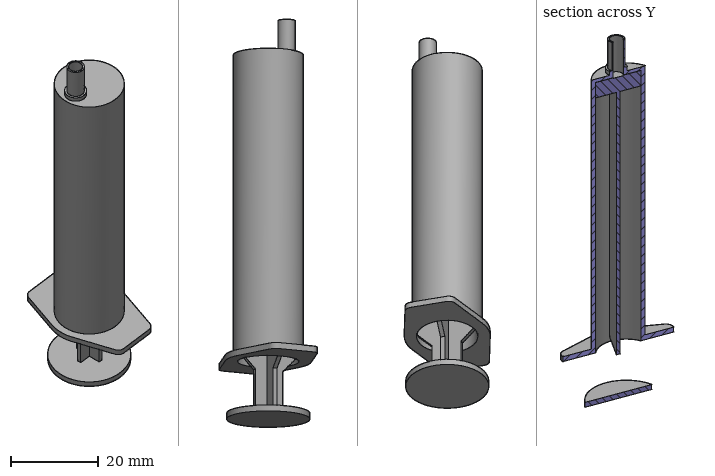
import cadquery as cq
import math

total_height = 93.0
disc_thickness = 1.4
flange_bottom = 13.4
flange_thickness = 1.4
barrel_top = 84.6

barrel_diameter = 16.0
wall = 1.0
bore_radius = barrel_diameter / 2 - wall
bore_top = barrel_top - wall

flange_length = 28.9
flange_width = 19.6
flange_hub_radius = flange_width / 2
corner_radius = 1.8
corner_x = flange_length / 2 - corner_radius
corner_y = 4.3

nozzle_y = -4.65
nozzle_diameter = 4.0
nozzle_bore_diameter = 3.2
collar_diameter = 5.0
collar_height = 1.0

disc_diameter = 19.0
rib_thickness = 1.0
shaft_width = 7.0
flare_start = 11.25
piston_thickness = 4.0


def cylinder(diameter, bottom, top, y=0.0):
    """Upright cylinder between two heights."""
    return cq.Workplane("XY", origin=(0, y, bottom)).circle(diameter / 2).extrude(top - bottom)


def make_flange():
    """Flange plate, with every arc tangent to its neighbouring edges."""
    corner_distance = math.hypot(corner_x, corner_y)
    corner_angle = math.atan2(corner_y, corner_x)
    normal = corner_angle + math.acos((flange_hub_radius - corner_radius) / corner_distance)

    def corner_point(angle):
        return (
            corner_x + corner_radius * math.cos(angle),
            corner_y + corner_radius * math.sin(angle),
        )

    hub_x = flange_hub_radius * math.cos(normal)
    hub_y = flange_hub_radius * math.sin(normal)
    side_x, side_y = corner_point(normal)
    middle_x, middle_y = corner_point(normal / 2)
    half_length = flange_length / 2
    return (
        cq.Workplane("XY", origin=(0, 0, flange_bottom))
        .moveTo(half_length, -corner_y)
        .lineTo(half_length, corner_y)
        .threePointArc((middle_x, middle_y), (side_x, side_y))
        .lineTo(hub_x, hub_y)
        .threePointArc((0, flange_hub_radius), (-hub_x, hub_y))
        .lineTo(-side_x, side_y)
        .threePointArc((-middle_x, middle_y), (-half_length, corner_y))
        .lineTo(-half_length, -corner_y)
        .threePointArc((-middle_x, -middle_y), (-side_x, -side_y))
        .lineTo(-hub_x, -hub_y)
        .threePointArc((0, -flange_hub_radius), (hub_x, -hub_y))
        .lineTo(side_x, -side_y)
        .threePointArc((middle_x, -middle_y), (half_length, -corner_y))
        .close()
        .extrude(flange_thickness)
    )


def make_barrel():
    """Hollow barrel with its finger flange, collar and nozzle."""
    shell = cylinder(barrel_diameter, flange_bottom, barrel_top)
    collar = cylinder(collar_diameter, barrel_top, barrel_top + collar_height, nozzle_y)
    nozzle = cylinder(nozzle_diameter, barrel_top, total_height, nozzle_y)
    outside = shell.union(make_flange()).union(collar).union(nozzle)

    bore = cylinder(2 * bore_radius, flange_bottom, bore_top)
    nozzle_bore = cylinder(nozzle_bore_diameter, bore_top, total_height, nozzle_y)
    return outside.cut(bore).cut(nozzle_bore)


def make_rib():
    """Flat rib in the XZ plane, flaring at 45 degrees from the narrow shaft out to the bore."""
    half_shaft = shaft_width / 2
    flare_end = flare_start + bore_radius - half_shaft
    rib = (
        cq.Workplane("XZ")
        .moveTo(-half_shaft, disc_thickness)
        .lineTo(half_shaft, disc_thickness)
        .lineTo(half_shaft, flare_start)
        .lineTo(bore_radius, flare_end)
        .lineTo(bore_radius, bore_top)
        .lineTo(-bore_radius, bore_top)
        .lineTo(-bore_radius, flare_end)
        .lineTo(-half_shaft, flare_start)
        .close()
        .extrude(rib_thickness / 2, both=True)
    )
    return rib.intersect(cylinder(2 * bore_radius, disc_thickness, bore_top))


def make_plunger():
    """Thumb disc, cross-shaped shaft and piston fully pushed in."""
    plunger = cylinder(disc_diameter, 0, disc_thickness)
    for angle in (0, 90):
        plunger = plunger.union(make_rib().rotate((0, 0, 0), (0, 0, 1), angle))
    piston = cylinder(2 * bore_radius, bore_top - piston_thickness, bore_top)
    return plunger.union(piston)


barrel = make_barrel()
plunger = make_plunger()
result = cq.Compound.makeCompound([barrel.val(), plunger.val()])